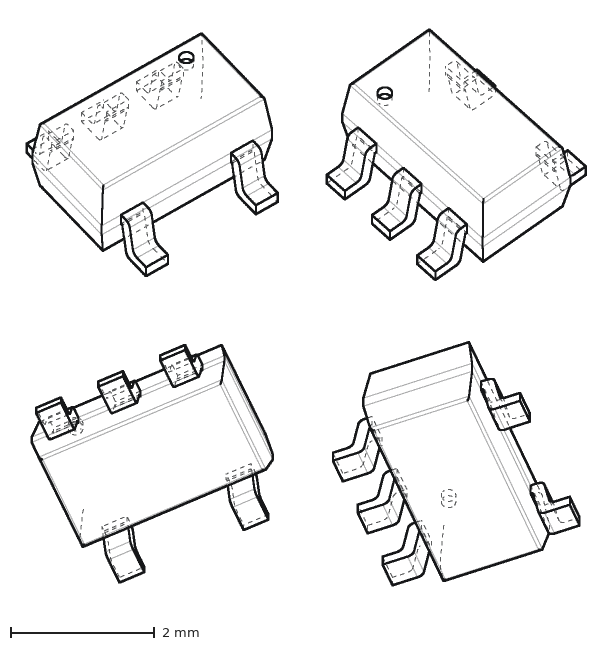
import cadquery as cq
import math

body_length = 2.95
body_width = 1.628
body_top = 1.45
body_bottom = 0.075
taper_inset = 0.08
edge_radius = 0.045

mark_diameter = 0.205
mark_depth = 0.15
mark_x = -0.487

lead_span = 2.8
lead_thickness = 0.195
lead_width = 0.38
lead_pitch = 0.95
lead_top = 0.767
lead_slope = 10.0
heel_x = 0.457
bend_radius = 0.097

belt_top = lead_top
belt_bottom = belt_top - lead_thickness
mark_y = lead_pitch


def tapered_half(belt_z, end_z):
    """Frustum that narrows from the belt to a flat end face with rounded edges."""
    end_face = ">Z" if end_z > belt_z else "<Z"
    return (
        cq.Workplane("XY", origin=(0, 0, belt_z))
        .rect(body_width, body_length)
        .workplane(offset=end_z - belt_z)
        .rect(body_width - 2 * taper_inset, body_length - 2 * taper_inset)
        .loft(ruled=True)
        .faces(end_face)
        .edges()
        .fillet(edge_radius)
    )


def make_housing():
    belt = (
        cq.Workplane("XY", origin=(0, 0, belt_bottom))
        .rect(body_width, body_length)
        .extrude(lead_thickness)
    )
    mark = (
        cq.Workplane("XY", origin=(mark_x, mark_y, body_top - mark_depth))
        .circle(mark_diameter / 2)
        .extrude(mark_depth)
    )
    upper = tapered_half(belt_top, body_top)
    lower = tapered_half(belt_bottom, body_bottom)
    return belt.union(upper).union(lower).cut(mark)


def make_lead(side, y):
    """Gull-wing lead on the -X (side = -1) or +X (side = 1) side, centred at y."""
    slope = math.radians(lead_slope)
    reach = (lead_span - body_width) / 2
    rise = math.tan(slope)
    shank_width = lead_thickness / math.cos(slope)

    def inner_x(z):
        return heel_x + z * rise

    def outer_x(z):
        return inner_x(z) - shank_width

    instep = (outer_x(lead_thickness), lead_thickness)
    shoulder = (outer_x(lead_top), lead_top)
    heel = (heel_x, 0)
    profile = [
        (0, 0),
        heel,
        (inner_x(belt_bottom), belt_bottom),
        (reach, belt_bottom),
        (reach, lead_top),
        shoulder,
        instep,
        (0, lead_thickness),
    ]
    lead = (
        cq.Workplane("XZ", origin=(-lead_span / 2, lead_width / 2, 0))
        .polyline(profile)
        .close()
        .extrude(lead_width)
    )
    for corner_x, corner_z in (heel, instep, shoulder):
        corner = (corner_x - lead_span / 2, 0, corner_z)
        lead = lead.edges(cq.selectors.NearestToPointSelector(corner)).fillet(bend_radius)
    if side > 0:
        lead = lead.mirror("YZ")
    return lead.translate((0, y, 0))


lead_places = [
    (-1, -lead_pitch),
    (-1, 0),
    (-1, lead_pitch),
    (1, -lead_pitch),
    (1, lead_pitch),
]

housing = make_housing()
leads = [make_lead(side, y) for side, y in lead_places]
result = cq.Compound.makeCompound([housing.val(), *[lead.val() for lead in leads]])